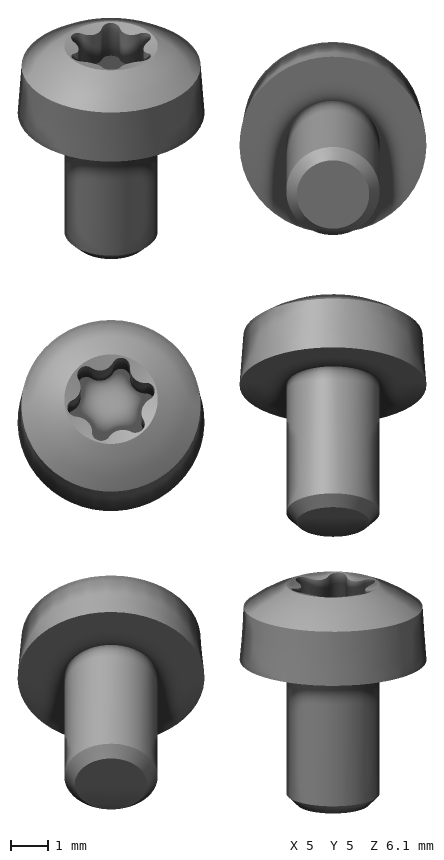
import cadquery as cq
import math

total_length = 6.1
shank_length = 4.0
shank_radius = 1.25
tip_chamfer = 0.28

head_radius = 2.5
head_shoulder_radius = 2.4
dome_height = 0.62
rim_radius = shank_radius

lobe_count = 6
lobe_tip_radius = 1.195
valley_radius = 0.865
lobe_arc_radius = 0.245
recess_depth = 1.045
countersink_angle = 15.0

shoulder_z = total_length - dome_height


def polar(radius, angle):
    return (radius * math.cos(angle), radius * math.sin(angle))


def make_body():
    """Revolve the shank, tapered head side and spherical dome."""
    centre_drop = (head_shoulder_radius**2 + dome_height**2 - rim_radius**2) / (2 * dome_height)
    centre_z = total_length - centre_drop
    sphere_radius = math.hypot(rim_radius, centre_drop)
    dome_mid_radius = (head_shoulder_radius + rim_radius) / 2
    dome_mid_z = centre_z + math.sqrt(sphere_radius**2 - dome_mid_radius**2)
    return (
        cq.Workplane("XZ")
        .moveTo(0, 0)
        .lineTo(shank_radius - tip_chamfer, 0)
        .lineTo(shank_radius, tip_chamfer)
        .lineTo(shank_radius, shank_length)
        .lineTo(head_radius, shank_length)
        .lineTo(head_shoulder_radius, shoulder_z)
        .threePointArc((dome_mid_radius, dome_mid_z), (rim_radius, total_length))
        .lineTo(0, total_length)
        .close()
        .revolve(360, (0, 0, 0), (0, 1, 0))
    )


def make_countersink():
    """Shallow cone cutting back the walls between the lobes."""
    cone_depth = rim_radius * math.tan(math.radians(countersink_angle))
    return (
        cq.Workplane("XZ")
        .moveTo(0, total_length)
        .lineTo(rim_radius, total_length)
        .lineTo(0, total_length - cone_depth)
        .close()
        .revolve(360, (0, 0, 0), (0, 1, 0))
    )


def make_socket():
    """Six-lobe prism outlined by alternating tangent arcs."""
    half_pitch = math.pi / lobe_count
    lobe_centre = lobe_tip_radius - lobe_arc_radius
    cosine = math.cos(half_pitch)
    valley_arc_radius = (
        lobe_centre**2 + valley_radius**2 - 2 * lobe_centre * valley_radius * cosine - lobe_arc_radius**2
    ) / (2 * (lobe_arc_radius - valley_radius + lobe_centre * cosine))
    valley_centre = valley_radius + valley_arc_radius

    share = lobe_arc_radius / (lobe_arc_radius + valley_arc_radius)
    touch_x = lobe_centre + share * (valley_centre * cosine - lobe_centre)
    touch_y = share * valley_centre * math.sin(half_pitch)
    touch_radius = math.hypot(touch_x, touch_y)
    touch_angle = math.atan2(touch_y, touch_x)

    first_lobe = math.pi / 2
    outline = cq.Workplane("XY", origin=(0, 0, total_length - recess_depth))
    outline = outline.moveTo(*polar(touch_radius, first_lobe - touch_angle))
    for index in range(lobe_count):
        lobe = first_lobe + 2 * half_pitch * index
        next_lobe = lobe + 2 * half_pitch
        outline = outline.threePointArc(
            polar(lobe_tip_radius, lobe), polar(touch_radius, lobe + touch_angle)
        )
        outline = outline.threePointArc(
            polar(valley_radius, lobe + half_pitch), polar(touch_radius, next_lobe - touch_angle)
        )
    return outline.close().extrude(recess_depth)


result = make_body().cut(make_countersink()).cut(make_socket())